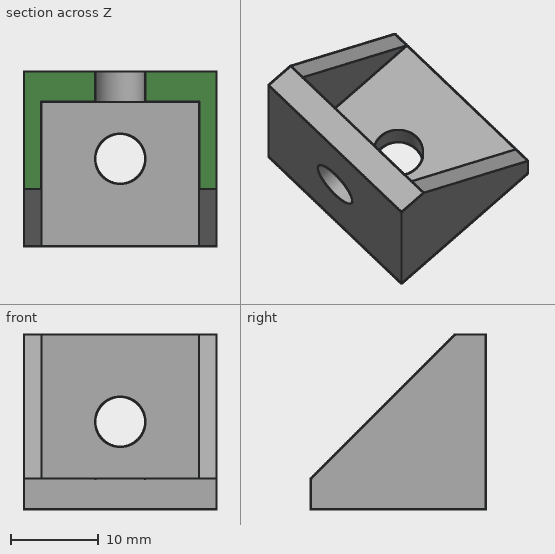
import cadquery as cq

width = 22.0
leg_length = 20.0
plate_thickness = 3.5
gusset_thickness = 2.0
hole_diameter = 5.7

hole_offset = leg_length / 2
inner_width = width - 2 * gusset_thickness


def extrude_along_x(side_outline, length):
    """Extrude a (Y, Z) outline symmetrically about the X = 0 plane."""
    return cq.Workplane("YZ").polyline(side_outline).close().extrude(length / 2, both=True)


bracket_outline = [
    (0, 0),
    (leg_length, 0),
    (leg_length, leg_length),
    (leg_length - plate_thickness, leg_length),
    (0, plate_thickness),
]
bracket = extrude_along_x(bracket_outline, width)

pocket_outline = [
    (0, plate_thickness),
    (leg_length - plate_thickness, plate_thickness),
    (leg_length - plate_thickness, leg_length),
    (0, leg_length),
]
pocket = extrude_along_x(pocket_outline, inner_width)

base_hole = (
    cq.Workplane("XY")
    .center(0, leg_length - hole_offset)
    .circle(hole_diameter / 2)
    .extrude(plate_thickness)
)
upright_hole = (
    cq.Workplane("XZ", origin=(0, leg_length, 0))
    .center(0, hole_offset)
    .circle(hole_diameter / 2)
    .extrude(plate_thickness)
)

result = bracket.cut(pocket).cut(base_hole).cut(upright_hole)